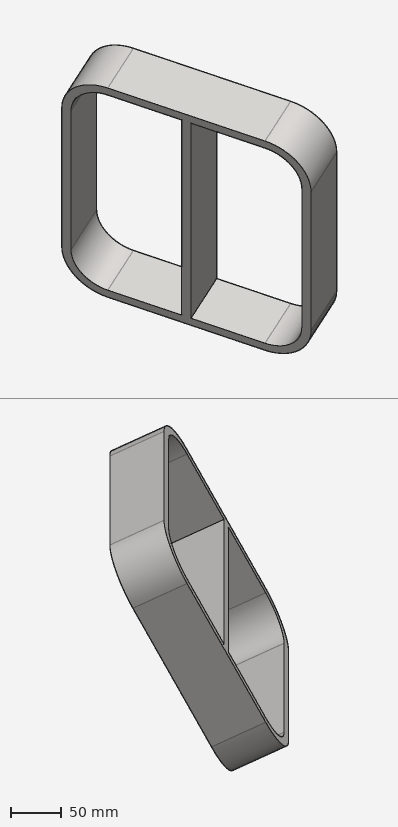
import cadquery as cq

width = 271.0
depth = 60.0
height = 298.0

wall = 10.0
outer_radius = 50.0
inner_radius = outer_radius - wall
divider_thickness = 10.0


def rounded_block(size_x, size_z, corner_radius):
    """Centred block through the full depth, with its four Y-direction edges rounded."""
    return cq.Workplane("XY").box(size_x, depth, size_z).edges("|Y").fillet(corner_radius)


outer = rounded_block(width, height, outer_radius)
opening = rounded_block(width - 2 * wall, height - 2 * wall, inner_radius)
ring = outer.cut(opening)

divider = cq.Workplane("XY").box(divider_thickness, depth, height - wall)

result = ring.union(divider)